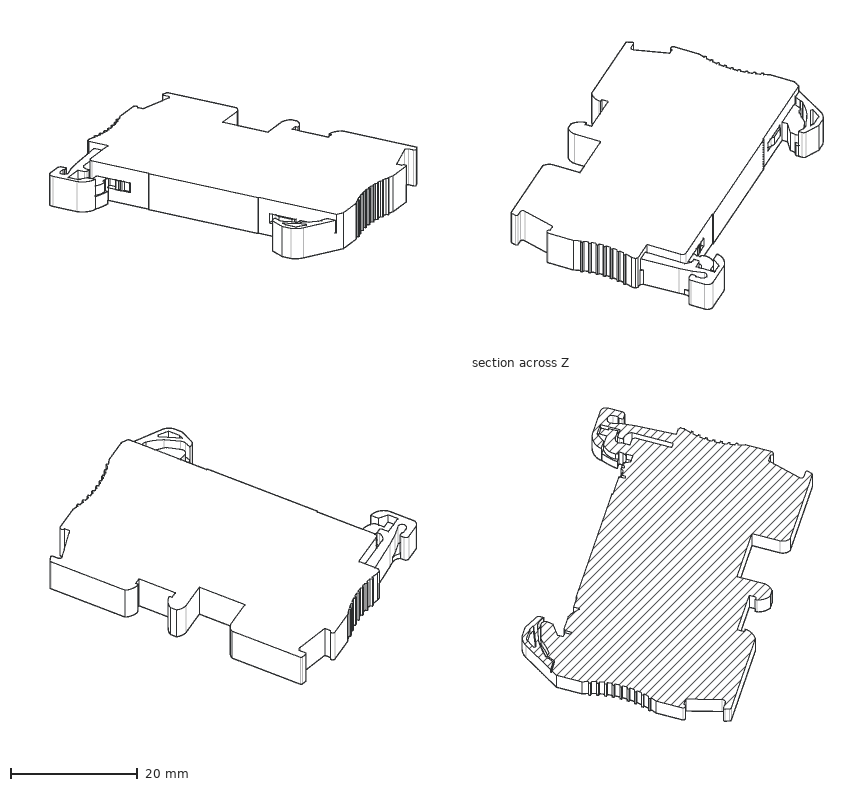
import cadquery as cq
import math


HOUSING_HEIGHT = 6.2
FOOT_HEIGHT = 5.2
SEAM_HEIGHT = 3.0
WEB_HEIGHT = 1.05
LOWER_TIER_HEIGHT = 2.17
WINDOW_TOP = 3.8

TOP = 35.4
BASE = 6.25
LEFT = 0.18
RIGHT = 49.1
LIP_TOP = 28.4
SHOULDER = 28.06
HEAD_OVERHANG = 34.16
STEP_X = 4.0
STEP_Y = 12.7
BASE_CORNER_RADIUS = 0.65
RIGHT_CORNER_X = 48.45
RIGHT_CORNER_Y = 7.3

WIDE_SLOT_LEFT = 15.5
WIDE_SLOT_RIGHT = 23.6
WIDE_SLOT_FLOOR = 29.37
SNAP_SLOT_LEFT = 26.4
SNAP_SLOT_RIGHT = 32.87
SNAP_SLOT_FLOOR = 32.2
SNAP_LEDGE = 33.3
SNAP_LIP = 0.45

GRIP_TOP = 23.7
LEFT_GRIP_BOTTOM = 13.65
LEFT_GRIP_DEPTH = 0.9
RIGHT_GRIP_BOTTOM = 11.48
RIGHT_GRIP_DEPTH = 1.17
RIB_PITCH = 1.23
RIB_TIP_WIDTH = 0.3
RIB_ROOT_WIDTH = 0.6
RIB_HEIGHT = 0.3
RIB_ROOT = 0.2
LEFT_RIB_COUNT = 7
RIGHT_RIB_COUNT = 9

PAD_LEFT = 14.87
PAD_RIGHT = 34.5
PAD_PROUD = 0.15

WINDOW_DEPTH = 1.0
NOSE_REACH = 0.3
DOUBLE_NOSE_REACH = 0.1
LEFT_WINDOW = (7.3, 11.5)
RIGHT_WINDOW = (36.4, 41.2)

SLOT_DIAMETER = 1.38
SLOT_CENTER = (1.84, 2.18)
FOOT_CORNER_RADIUS = 0.55
HEEL_RADIUS = 1.0
HEEL_TOP = 3.93
ARM_INNER_X = 3.3

CAVITY_LEFT = 3.33
CAVITY_FLOOR = 0.78
CAVITY_TOP = 3.97
HOOK_CLEARANCE = 0.22

POCKET_FLOOR = LOWER_TIER_HEIGHT
GROOVE_FLOOR = LOWER_TIER_HEIGHT
SLIT_WIDTH = 0.12
SLIT_LEFT = 47.0


def prism(points, bottom, top):
    """Straight-sided block over a closed polygon."""
    outline = cq.Workplane("XY").workplane(offset=bottom).polyline(points).close()
    return outline.extrude(top - bottom)


def block(x_range, y_range, z_range):
    """Box between two limits along each axis."""
    x0, x1 = x_range
    y0, y1 = y_range
    return prism([(x0, y0), (x1, y0), (x1, y1), (x0, y1)], *z_range)


def make_housing():
    """Flat housing with marker slots on top, a grip on each end and a base step at the left."""
    left_grip_middle = (GRIP_TOP + LEFT_GRIP_BOTTOM) / 2
    right_grip_middle = (GRIP_TOP + RIGHT_GRIP_BOTTOM) / 2
    snap_left_lip = SNAP_SLOT_LEFT + SNAP_LIP
    snap_right_lip = SNAP_SLOT_RIGHT - SNAP_LIP
    outline = (
        cq.Workplane("XY")
        .moveTo(STEP_X + BASE_CORNER_RADIUS, BASE)
        .radiusArc((STEP_X, BASE + BASE_CORNER_RADIUS), BASE_CORNER_RADIUS)
        .lineTo(STEP_X, STEP_Y)
        .lineTo(0.55, STEP_Y)
        .lineTo(LEFT, 13.0)
        .lineTo(LEFT, LEFT_GRIP_BOTTOM)
        .threePointArc((LEFT + LEFT_GRIP_DEPTH, left_grip_middle), (LEFT, GRIP_TOP))
        .lineTo(LEFT, SHOULDER)
        .threePointArc((0.55, LIP_TOP), (0.95, SHOULDER))
        .lineTo(1.96, SHOULDER)
        .lineTo(3.46, 33.5)
        .threePointArc((3.46, 33.95), (3.15, HEAD_OVERHANG))
        .lineTo(2.25, HEAD_OVERHANG)
        .threePointArc((2.05, 34.25), (2.0, 34.5))
        .lineTo(2.2, 35.2)
        .threePointArc((2.29, 35.33), (2.45, TOP))
        .lineTo(14.6, TOP)
        .threePointArc((15.2, 34.88), (WIDE_SLOT_LEFT, 34.0))
        .lineTo(WIDE_SLOT_LEFT, WIDE_SLOT_FLOOR)
        .lineTo(WIDE_SLOT_RIGHT, WIDE_SLOT_FLOOR)
        .lineTo(WIDE_SLOT_RIGHT, 33.9)
        .threePointArc((23.93, 34.78), (24.5, TOP))
        .lineTo(25.6, TOP)
        .threePointArc((26.2, 34.88), (snap_left_lip, 33.6))
        .lineTo(snap_left_lip, SNAP_LEDGE)
        .lineTo(SNAP_SLOT_LEFT, SNAP_LEDGE)
        .lineTo(SNAP_SLOT_LEFT, SNAP_SLOT_FLOOR)
        .lineTo(SNAP_SLOT_RIGHT, SNAP_SLOT_FLOOR)
        .lineTo(SNAP_SLOT_RIGHT, SNAP_LEDGE)
        .lineTo(snap_right_lip, SNAP_LEDGE)
        .lineTo(snap_right_lip, 33.6)
        .threePointArc((33.05, 34.88), (33.65, TOP))
        .lineTo(46.85, TOP)
        .threePointArc((47.06, 35.33), (47.15, 35.2))
        .lineTo(47.4, 34.5)
        .threePointArc((47.35, 34.25), (47.1, HEAD_OVERHANG))
        .lineTo(46.2, HEAD_OVERHANG)
        .threePointArc((45.88, 33.95), (45.85, 33.5))
        .lineTo(47.4, SHOULDER)
        .lineTo(48.3, SHOULDER)
        .threePointArc((48.7, LIP_TOP), (RIGHT, SHOULDER))
        .lineTo(RIGHT, GRIP_TOP)
        .threePointArc((RIGHT - RIGHT_GRIP_DEPTH, right_grip_middle), (RIGHT, RIGHT_GRIP_BOTTOM))
        .lineTo(RIGHT, RIGHT_CORNER_Y)
        .lineTo(RIGHT_CORNER_X, BASE)
        .lineTo(PAD_RIGHT, BASE)
        .lineTo(PAD_RIGHT, BASE - PAD_PROUD)
        .lineTo(PAD_LEFT, BASE - PAD_PROUD)
        .lineTo(PAD_LEFT, BASE)
        .close()
    )
    return outline.extrude(HOUSING_HEIGHT)


def make_grip_ribs(wall_x, bottom, depth, count, outward):
    """Ribs on a concave grip, pointing along `outward` (-1 left, +1 right)."""
    half_chord = (GRIP_TOP - bottom) / 2
    middle = (GRIP_TOP + bottom) / 2
    radius = (half_chord**2 + depth**2) / (2 * depth)
    ribs = cq.Workplane("XY")
    for i in range(count):
        offset = (i - (count - 1) / 2) * RIB_PITCH
        sag = math.sqrt(radius**2 - offset**2) - (radius - depth)
        surface_x = wall_x - outward * sag
        root_x = surface_x - outward * RIB_ROOT
        tip_x = surface_x + outward * RIB_HEIGHT
        y = middle + offset
        rib = prism(
            [
                (root_x, y - RIB_ROOT_WIDTH / 2),
                (tip_x, y - RIB_TIP_WIDTH / 2),
                (tip_x, y + RIB_TIP_WIDTH / 2),
                (root_x, y + RIB_ROOT_WIDTH / 2),
            ],
            0,
            HOUSING_HEIGHT,
        )
        ribs = ribs.add(rib)
    return ribs.combine()


def cut_contact_window(body, x_range):
    """Recess in the base face, between the lower tier and the window top."""
    return body.cut(block(x_range, (BASE, BASE + WINDOW_DEPTH), (LOWER_TIER_HEIGHT, WINDOW_TOP)))


def make_contacts():
    """Contact noses that stand in the windows and reach just past the base."""
    window_floor = BASE + WINDOW_DEPTH
    z_range = (LOWER_TIER_HEIGHT, WINDOW_TOP)
    nose_tip = BASE - NOSE_REACH
    nose = prism(
        [
            (36.4, window_floor),
            (37.64, BASE),
            (38.3, nose_tip),
            (40.6, nose_tip),
            (40.9, BASE),
            (40.9, window_floor),
        ],
        *z_range,
    )
    tip = BASE - DOUBLE_NOSE_REACH
    gap_floor = BASE + NOSE_REACH
    tail_y = 6.6
    double_nose = prism(
        [
            (8.4, window_floor),
            (8.9, tip),
            (9.45, tip),
            (9.45, gap_floor),
            (9.75, gap_floor),
            (9.75, tip),
            (10.05, tip),
            (10.3, tail_y),
            (11.2, tail_y),
            (11.2, window_floor),
        ],
        *z_range,
    )
    return nose.union(double_nose)


def make_spring_foot():
    """Flexible arm under the base step with a hooked foot at its end."""
    slot_x, slot_y = SLOT_CENTER
    slot_radius = SLOT_DIAMETER / 2
    foot = (
        cq.Workplane("XY")
        .moveTo(1.5, STEP_Y)
        .lineTo(1.84, BASE)
        .lineTo(2.07, 4.1)
        .lineTo(slot_x + slot_radius, slot_y)
        .threePointArc((slot_x, slot_y - slot_radius), (slot_x - slot_radius, slot_y))
        .lineTo(slot_x - slot_radius, 3.0)
        .lineTo(1.35, 3.2)
        .lineTo(1.35, 3.7)
        .threePointArc((1.3, 3.87), (1.15, HEEL_TOP))
        .lineTo(FOOT_CORNER_RADIUS, HEEL_TOP)
        .radiusArc((0, HEEL_TOP - FOOT_CORNER_RADIUS), -FOOT_CORNER_RADIUS)
        .lineTo(0, HEEL_RADIUS)
        .radiusArc((HEEL_RADIUS, 0), -HEEL_RADIUS)
        .lineTo(5.3, 0)
        .threePointArc((6.75, 0.75), (7.46, LOWER_TIER_HEIGHT))
        .lineTo(6.05, LOWER_TIER_HEIGHT)
        .lineTo(5.05, CAVITY_FLOOR)
        .lineTo(CAVITY_LEFT, CAVITY_FLOOR)
        .lineTo(CAVITY_LEFT, CAVITY_TOP)
        .lineTo(4.5, CAVITY_TOP)
        .threePointArc((4.75, 4.1), (4.8, 4.35))
        .lineTo(4.8, 5.0)
        .lineTo(4.4, 5.0)
        .threePointArc((3.75, 5.3), (ARM_INNER_X, 5.95))
        .lineTo(ARM_INNER_X, STEP_Y)
        .close()
        .extrude(FOOT_HEIGHT)
    )
    web_top = 5.3
    web = (
        cq.Workplane("XY")
        .moveTo(1.15, 3.9)
        .threePointArc((1.65, 4.3), (1.9, web_top))
        .lineTo(2.6, web_top)
        .lineTo(2.6, 1.2)
        .lineTo(1.0, 1.2)
        .close()
        .extrude(WEB_HEIGHT)
    )
    root_gusset = prism([(1.2, STEP_Y), (1.6, STEP_Y), (1.6, 12.1)], 0, SEAM_HEIGHT)
    return foot.union(web).union(root_gusset)


def make_housing_hook():
    """Hook below the housing that sits in the cavity of the spring foot."""
    hook_left = CAVITY_LEFT + HOOK_CLEARANCE
    hook_top = CAVITY_TOP - HOOK_CLEARANCE
    hook_bottom = CAVITY_FLOOR + HOOK_CLEARANCE
    neck_left = 5.45
    neck_right = 7.25
    barb_x = 6.6
    barb_y = 2.24
    shoulder_y = 5.0
    hook = (
        cq.Workplane("XY")
        .moveTo(neck_left, BASE)
        .lineTo(neck_left, 4.9)
        .threePointArc((5.55, 4.2), (4.9, hook_top))
        .lineTo(hook_left, hook_top)
        .lineTo(hook_left, 2.2)
        .lineTo(3.8, 2.2)
        .lineTo(3.8, hook_bottom)
        .lineTo(5.0, hook_bottom)
        .lineTo(5.0, barb_y)
        .lineTo(barb_x, barb_y)
        .threePointArc((7.55, 3.35), (7.75, 4.6))
        .lineTo(7.6, shoulder_y)
        .lineTo(neck_right, shoulder_y)
        .lineTo(7.3, 5.7)
        .lineTo(7.55, BASE)
        .close()
        .extrude(WINDOW_TOP)
    )
    side_tongue = (
        cq.Workplane("XY")
        .moveTo(barb_x, barb_y)
        .lineTo(7.42, barb_y)
        .threePointArc((7.9, 3.7), (8.15, shoulder_y))
        .lineTo(neck_right, shoulder_y)
        .close()
        .extrude(LOWER_TIER_HEIGHT)
    )
    inner_ledge = block((4.85, 5.6), (hook_top, shoulder_y), (0, LOWER_TIER_HEIGHT))
    corner_ledge = block((hook_left, 3.9), (1.2, 2.3), (0, LOWER_TIER_HEIGHT))
    return hook.union(side_tongue).union(inner_ledge).union(corner_ledge)


def make_fixed_foot():
    """Right foot: a low floor carrying a tall outer spring wall and a shorter inner block."""
    flank_slope = (RIGHT_CORNER_Y - BASE) / (RIGHT - RIGHT_CORNER_X)
    toe_y = 1.15
    toe_x = RIGHT_CORNER_X - (BASE - toe_y) / flank_slope
    tip_x = 39.5
    wall_tip_y = 2.35
    spring_wall = (
        cq.Workplane("XY")
        .moveTo(tip_x, wall_tip_y)
        .lineTo(tip_x, 1.7)
        .threePointArc((39.57, 1.4), (39.84, 1.17))
        .lineTo(42.1, 0)
        .lineTo(43.7, 0)
        .threePointArc((44.62, 0.4), (toe_x, toe_y))
        .lineTo(RIGHT_CORNER_X, BASE)
        .lineTo(46.9, BASE)
        .lineTo(46.15, 4.6)
        .threePointArc((45.1, 3.65), (43.9, 2.85))
        .lineTo(41.4, 1.9)
        .threePointArc((41.0, 1.82), (40.6, 1.87))
        .close()
        .extrude(FOOT_HEIGHT)
    )
    inner_block = (
        cq.Workplane("XY")
        .moveTo(41.96, BASE)
        .lineTo(41.96, 5.33)
        .lineTo(40.26, 4.1)
        .lineTo(40.1, 3.2)
        .threePointArc((40.35, 2.4), (41.1, 2.28))
        .lineTo(43.4, 3.0)
        .lineTo(43.8, 3.35)
        .threePointArc((44.6, 4.2), (45.5, 4.95))
        .lineTo(46.1, 4.8)
        .lineTo(46.7, BASE)
        .close()
        .extrude(WINDOW_TOP)
    )
    groove_floor = prism(
        [(tip_x, wall_tip_y), (tip_x, 2.8), (39.9, 3.15), (41, 3.2), (46, BASE), (47.5, BASE), (42, 1.5)],
        0,
        GROOVE_FLOOR,
    )
    pocket = prism(
        [(41.5, 1.2), (44.9, 2.66), (45.2, 2.4), (44.1, 0.87), (42.2, 0.87)], POCKET_FLOOR, FOOT_HEIGHT
    )
    slit = block((SLIT_LEFT, RIGHT), (BASE - SLIT_WIDTH, BASE), (SEAM_HEIGHT, FOOT_HEIGHT))
    foot = spring_wall.union(groove_floor).union(inner_block).cut(pocket).cut(slit)
    lower_opening = prism([(43.35, 2.9), (43.65, 2.8), (44.0, 3.1), (43.75, 3.25)], 0, FOOT_HEIGHT)
    upper_opening = prism([(46.1, 4.8), (46.15, 4.55), (46.45, 5.1), (46.25, 5.15)], 0, FOOT_HEIGHT)
    return foot.cut(lower_opening).cut(upper_opening)


housing = make_housing()
housing = housing.union(make_grip_ribs(LEFT, LEFT_GRIP_BOTTOM, LEFT_GRIP_DEPTH, LEFT_RIB_COUNT, -1))
housing = housing.union(make_grip_ribs(RIGHT, RIGHT_GRIP_BOTTOM, RIGHT_GRIP_DEPTH, RIGHT_RIB_COUNT, 1))
housing = cut_contact_window(housing, LEFT_WINDOW)
housing = cut_contact_window(housing, RIGHT_WINDOW)
result = housing.union(make_contacts())
result = result.union(make_spring_foot()).union(make_housing_hook()).union(make_fixed_foot())